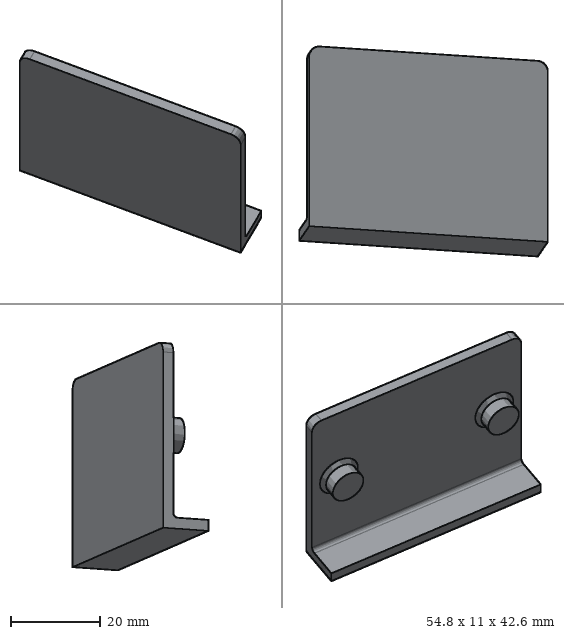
import cadquery as cq

width = 54.8
depth = 11.0
height = 42.6

thickness = 2.5
corner_radius = 2.45
bend_radius = 1.0

boss_diameter = 8.0
boss_length = 4.0
boss_spacing = 40.65
boss_height = 22.6
boss_chamfer = 1.0


def make_bracket():
    """Upright plate with a foot along its lower edge, centred on X."""
    plate = cq.Workplane("XY").box(width, thickness, height, centered=(True, False, False))
    plate = plate.edges("|Y and >Z").fillet(corner_radius)
    foot = cq.Workplane("XY").box(width, depth, thickness, centered=(True, False, False))
    inner_corner = cq.selectors.NearestToPointSelector((0, thickness, thickness))
    return plate.union(foot).edges(inner_corner).fillet(bend_radius)


def make_boss(x):
    """Round boss pointing to +Y, flared by a 45-degree cone at the plate."""
    radius = boss_diameter / 2
    flare_radius = radius + boss_chamfer
    profile = (
        cq.Workplane("XY")
        .moveTo(0, 0)
        .lineTo(flare_radius, 0)
        .lineTo(radius, boss_chamfer)
        .lineTo(radius, boss_length)
        .lineTo(0, boss_length)
        .close()
    )
    boss = profile.revolve(360, (0, 0, 0), (0, 1, 0))
    return boss.translate((x, thickness, boss_height))


result = make_bracket()
for side in (-1, 1):
    result = result.union(make_boss(side * boss_spacing / 2))